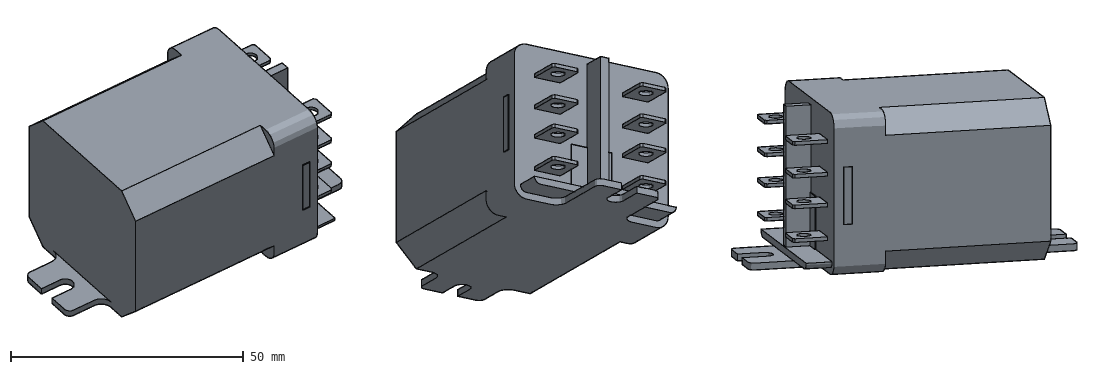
import cadquery as cq

total_length = 73.65
total_width = 39.4
height = 35.7
side_rib_height = 0.2
body_width = total_width - 2 * side_rib_height
body_front_y = -27.3
body_rear_y = 21.2

corner_radius = 3.1
bevel_size = 5.1
bevel_end_y = 9.65

side_rib_length = 12.7
side_rib_breadth = 1.9
side_rib_y = 18.1

rear_inset = 1.55
shelf_rear_y = 27.0
divider_rear_y = 26.75
divider_width = 2.05
pad_width = 10.2
pad_thickness = 0.2
pad_top_z = 14.9

terminal_width = 6.5
terminal_thickness = 0.8
terminal_rear_y = 28.95
terminal_corner = 0.45
terminal_x = 11.1
terminal_heights = (7.45, 14.9, 21.65, 28.9)
terminal_hole_diameter = 3.0
terminal_hole_y = 25.6

tab_width = 15.8
tab_thickness = 1.55
tab_corner_radius = 1.4
tab_root_radius = 2.6
slot_width = 3.8
rear_slot_depth = 7.45
front_slot_depth = 6.85


def block(width, y_start, y_end, z_start, z_end):
    """Box centred on X = 0 between the given Y and Z limits."""
    return cq.Workplane("XY").box(
        width, y_end - y_start, z_end - z_start, centered=(True, False, False)
    ).translate((0, y_start, z_start))


def make_body():
    rear = block(body_width, bevel_end_y, body_rear_y, 0, height).edges("|Y").fillet(corner_radius)
    front = block(body_width, body_front_y, bevel_end_y, 0, height).edges("|Y").chamfer(bevel_size)
    return rear.union(front)


def make_side_ribs():
    rib_y_start = side_rib_y - side_rib_breadth / 2
    rib_z_start = (height - side_rib_length) / 2
    return block(
        total_width,
        rib_y_start,
        rib_y_start + side_rib_breadth,
        rib_z_start,
        rib_z_start + side_rib_length,
    )


def make_rear_details():
    """Rounded shelf, upright divider and thin pad on the rear face."""
    shelf_width = body_width - 2 * rear_inset
    shelf_radius = corner_radius - rear_inset
    shelf = block(shelf_width, body_rear_y, shelf_rear_y, rear_inset, height - rear_inset)
    shelf = shelf.edges("|Y").fillet(shelf_radius)
    shelf = shelf.intersect(block(shelf_width, body_rear_y, shelf_rear_y, 0, corner_radius))
    divider = block(divider_width, body_rear_y, divider_rear_y, rear_inset, height - rear_inset)
    pad = block(pad_width, body_rear_y, body_rear_y + pad_thickness, rear_inset, pad_top_z)
    return shelf.union(divider).union(pad)


def make_terminal(x, z):
    blade = block(
        terminal_width,
        body_rear_y,
        terminal_rear_y,
        -terminal_thickness / 2,
        terminal_thickness / 2,
    )
    blade = blade.edges("|Z and >Y").chamfer(terminal_corner)
    hole = (
        cq.Workplane("XY")
        .center(0, terminal_hole_y)
        .circle(terminal_hole_diameter / 2)
        .extrude(terminal_thickness, both=True)
    )
    return blade.cut(hole).translate((x, 0, z))


def make_tab(root_y, slot_depth):
    """Mounting tab pointing toward +Y, flaring out where it meets the body at root_y."""
    end_y = total_length / 2
    half_width = tab_width / 2
    root_half_width = half_width + tab_root_radius
    flare_end_y = root_y + tab_root_radius
    tab = (
        block(tab_width, root_y, end_y, 0, tab_thickness)
        .edges("|Z and >Y")
        .fillet(tab_corner_radius)
    )
    flare = block(2 * root_half_width, root_y, flare_end_y, 0, tab_thickness)
    flare_cuts = (
        cq.Workplane("XY")
        .pushPoints([(-root_half_width, flare_end_y), (root_half_width, flare_end_y)])
        .circle(tab_root_radius)
        .extrude(tab_thickness)
    )
    slot_centre_y = end_y - slot_depth + slot_width / 2
    slot_end = (
        cq.Workplane("XY").center(0, slot_centre_y).circle(slot_width / 2).extrude(tab_thickness)
    )
    slot = block(slot_width, slot_centre_y, end_y, 0, tab_thickness).union(slot_end)
    return tab.union(flare.cut(flare_cuts)).cut(slot)


rear_tab = make_tab(body_rear_y, rear_slot_depth)
front_tab = make_tab(-body_front_y, front_slot_depth).mirror("XZ")

result = make_body().union(make_side_ribs()).union(make_rear_details())
result = result.union(rear_tab).union(front_tab)
for terminal_z in terminal_heights:
    for side in (-1, 1):
        result = result.union(make_terminal(side * terminal_x, terminal_z))